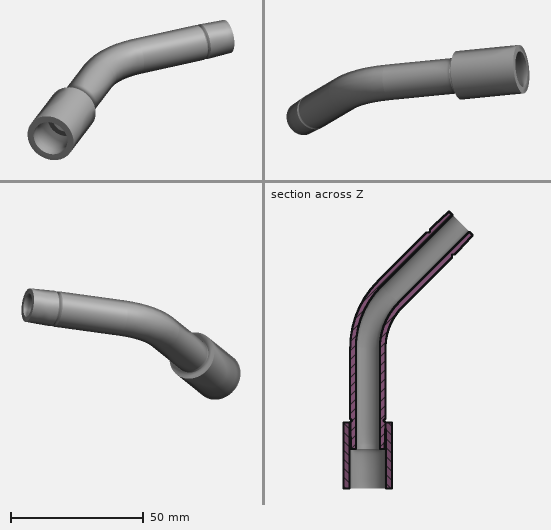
import cadquery as cq
import math

sleeve_diameter = 18.4
sleeve_length = 25.0

tube_diameter = 13.5
bore_diameter = 8.9
bend_start_y = 53.2
bend_radius = 28.6
bend_angle = 45.0
upper_leg_length = 37.9

spigot_length = 10.1
spigot_end_diameter = 12.8
groove_width = 1.5
groove_diameter = 12.1

lower_leg_start_y = sleeve_length - spigot_length
lower_leg_length = bend_start_y - lower_leg_start_y

angle = math.radians(bend_angle)
bend_end_x = bend_radius * (1 - math.cos(angle))
bend_end_y = bend_start_y + bend_radius * math.sin(angle)


def make_leg(length):
    """Straight leg rising along Y from the bend end at Y = 0 to its spigot end face."""
    tube_radius = tube_diameter / 2
    groove_radius = groove_diameter / 2
    spigot_base_y = length - spigot_length
    shoulder_y = spigot_base_y - groove_width
    return (
        cq.Workplane("XY")
        .moveTo(bore_diameter / 2, 0)
        .lineTo(tube_radius, 0)
        .lineTo(tube_radius, shoulder_y)
        .lineTo(groove_radius, shoulder_y + groove_width / 2)
        .lineTo(tube_radius, spigot_base_y)
        .lineTo(spigot_end_diameter / 2, length)
        .lineTo(bore_diameter / 2, length)
        .close()
        .revolve(360, (0, 0, 0), (0, 1, 0))
    )


def make_bend():
    """Hollow elbow turning from +Y towards +X."""
    return (
        cq.Workplane("XZ", origin=(0, bend_start_y, 0))
        .circle(tube_diameter / 2)
        .circle(bore_diameter / 2)
        .revolve(bend_angle, (bend_radius, 0, 0), (bend_radius, -1, 0))
    )


def make_tube():
    """Bend with a straight leg on each end."""
    lower_leg = (
        make_leg(lower_leg_length)
        .rotate((0, 0, 0), (0, 0, 1), 180)
        .translate((0, bend_start_y, 0))
    )
    upper_leg = (
        make_leg(upper_leg_length)
        .rotate((0, 0, 0), (0, 0, 1), -bend_angle)
        .translate((bend_end_x, bend_end_y, 0))
    )
    return lower_leg.union(make_bend()).union(upper_leg)


def make_sleeve():
    """Plain sleeve whose bore fits the widest part of the lower spigot."""
    return (
        cq.Workplane("XZ")
        .circle(sleeve_diameter / 2)
        .circle(tube_diameter / 2)
        .extrude(-sleeve_length)
    )


tube = make_tube()
sleeve = make_sleeve()

result = cq.Compound.makeCompound([tube.solids().val(), sleeve.val()])